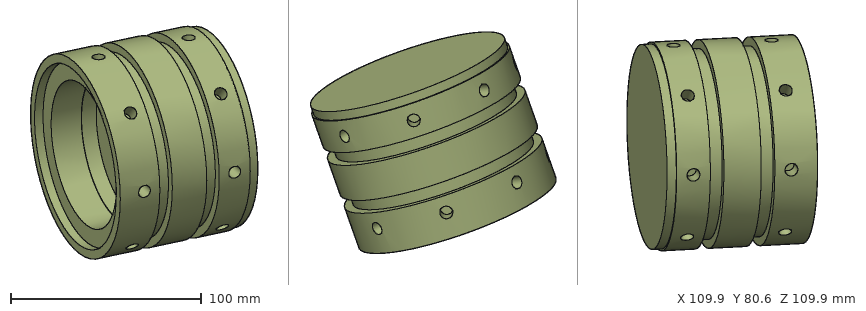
import cadquery as cq

outer_diameter = 109.9
groove_diameter = 100.5
spigot_diameter = 107.9

front_band = 23.0
groove_width = 7.3
middle_band = 20.0
rear_band = 18.0
spigot_length = 5.0

counterbore_diameter = 99.9
counterbore_depth = 5.0
bore_diameter = 80.0
bore_end_depth = 22.4
inner_bore_diameter = 79.3
inner_bore_floor_depth = 31.0

hole_diameter = 6.8
hole_depth = 10.0
hole_count = 8
hole_start_angle = 1.4
front_hole_position = 14.1

rear_band_start = front_band + 2 * groove_width + middle_band
rear_hole_position = rear_band_start + rear_band / 2


def cylinder(diameter, start, length):
    """Cylinder on the Y axis, running towards +Y from start."""
    return cq.Workplane("XZ", origin=(0, start, 0)).circle(diameter / 2).extrude(-length)


def stepped_body():
    sections = (
        (outer_diameter, front_band),
        (groove_diameter, groove_width),
        (outer_diameter, middle_band),
        (groove_diameter, groove_width),
        (outer_diameter, rear_band),
        (spigot_diameter, spigot_length),
    )
    body = cq.Workplane("XZ")
    start = 0
    for diameter, length in sections:
        body = body.union(cylinder(diameter, start, length))
        start += length
    return body


def radial_hole(position, angle):
    """Blind hole pointing at the axis, turned about Y from the +Z direction."""
    bottom_radius = outer_diameter / 2 - hole_depth
    hole = (
        cq.Workplane("XY", origin=(0, position, bottom_radius))
        .circle(hole_diameter / 2)
        .extrude(2 * hole_depth)
    )
    return hole.rotate((0, 0, 0), (0, 1, 0), angle)


result = stepped_body()
result = result.cut(cylinder(counterbore_diameter, 0, counterbore_depth))
result = result.cut(cylinder(bore_diameter, 0, bore_end_depth))
result = result.cut(cylinder(inner_bore_diameter, 0, inner_bore_floor_depth))

for position in (front_hole_position, rear_hole_position):
    for index in range(hole_count):
        angle = -hole_start_angle + index * 360 / hole_count
        result = result.cut(radial_hole(position, angle))